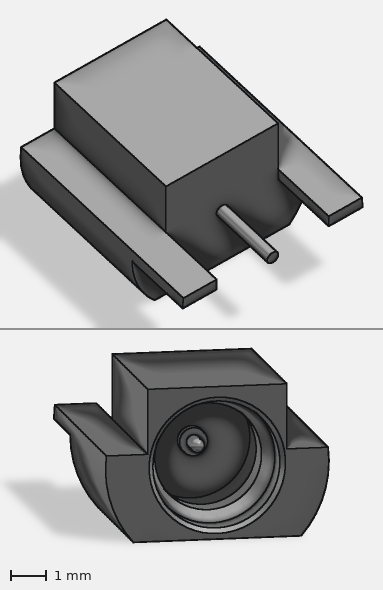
import cadquery as cq
import math

total_length = 7.37
body_length = 5.07

body_radius = 3.18
block_width = 3.96
total_height = 4.34
top_height = 2.24
ledge_height = 0.39
bottom_height = top_height - total_height
leg_thickness = 0.405

mouth_radius = 1.94
entry_radius = 1.805
throat_radius = 1.52
relief_radius = 1.66
chamfer_depth = mouth_radius - entry_radius
taper_start = 0.85
taper_end = 1.305
throat_end = 2.085
flare_length = 0.185
floor_depth = 3.685

pin_radius = 0.2
collar_radius = 0.4
collar_length = 0.295
pin_tip = 2.65


def make_body():
    """Flat-bottomed round body with a block on top, extruded along X."""
    half_block = block_width / 2
    ledge_edge = math.sqrt(body_radius**2 - ledge_height**2)
    bottom_edge = math.sqrt(body_radius**2 - bottom_height**2)
    return (
        cq.Workplane("YZ")
        .moveTo(-half_block, top_height)
        .lineTo(half_block, top_height)
        .lineTo(half_block, ledge_height)
        .lineTo(ledge_edge, ledge_height)
        .threePointArc((body_radius, 0), (bottom_edge, bottom_height))
        .lineTo(-bottom_edge, bottom_height)
        .threePointArc((-body_radius, 0), (-ledge_edge, ledge_height))
        .lineTo(-half_block, ledge_height)
        .close()
        .extrude(total_length)
    )


def make_rear_cut():
    """Material removed behind the body, leaving only the two side legs."""
    cut_length = total_length - body_length
    between_legs = cq.Workplane("XY").box(
        cut_length, block_width, total_height, centered=(False, True, False)
    )
    below_legs = cq.Workplane("XY").box(
        cut_length,
        2 * body_radius,
        ledge_height - leg_thickness - bottom_height,
        centered=(False, True, False),
    )
    return between_legs.union(below_legs).translate((body_length, 0, bottom_height))


def make_bore():
    """Stepped bore, revolved about the X axis."""
    return (
        cq.Workplane("XY")
        .polyline([
            (0, 0),
            (0, mouth_radius),
            (chamfer_depth, entry_radius),
            (taper_start, entry_radius),
            (taper_end, throat_radius),
            (throat_end, throat_radius),
            (throat_end + flare_length, relief_radius),
            (floor_depth, relief_radius),
            (floor_depth, 0),
        ])
        .close()
        .revolve(360, (0, 0, 0), (1, 0, 0))
    )


def make_contact():
    """Round-nosed pin through the body, with a collar standing on the bore floor."""
    nose_length = pin_radius
    collar_start = floor_depth - collar_length
    nose_middle = pin_radius * math.sqrt(0.5)
    return (
        cq.Workplane("XY")
        .moveTo(pin_tip, 0)
        .threePointArc(
            (pin_tip + nose_length - nose_middle, nose_middle),
            (pin_tip + nose_length, pin_radius),
        )
        .lineTo(collar_start, pin_radius)
        .lineTo(collar_start, collar_radius)
        .lineTo(floor_depth, collar_radius)
        .lineTo(floor_depth, pin_radius)
        .lineTo(total_length, pin_radius)
        .lineTo(total_length, 0)
        .close()
        .revolve(360, (0, 0, 0), (1, 0, 0))
    )


result = make_body().cut(make_rear_cut()).cut(make_bore()).union(make_contact())